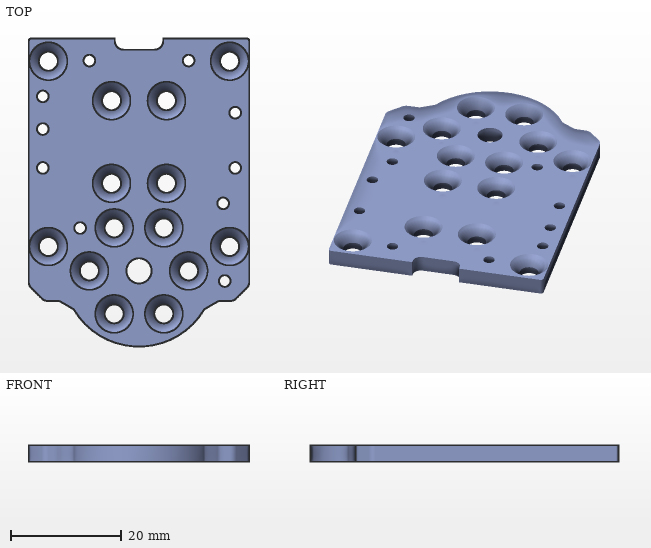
import cadquery as cq
import math

width = 40.0
length = 55.9
thickness = 3.0
nose_radius = 13.75
half_width = width / 2
back_y = length - nose_radius
shoulder_y = -5.5
shoulder_chamfer = 2.85
shoulder_fillet = 1.5
back_corner_radius = 0.5

flank_angle = math.radians(30)
flank_fillet = 1.0
nose_fillet = 0.5
nose_start_x = 11.85
nose_start_y = -math.sqrt(nose_radius**2 - nose_start_x**2)
flank_outer_x = nose_start_x + (shoulder_y - nose_start_y) / math.tan(flank_angle)

notch_width = 8.7
notch_depth = 2.0
notch_radius = 1.5

pilot_diameter = 2.05
screw_diameter = 3.4
countersink_diameter = 6.9
countersink_angle = 90
center_diameter = 4.5

corner_screw_x = 16.45
corner_screw_back_y = 38.0
corner_screw_front_y = 4.4
middle_screw_x = 5.0
middle_screw_back_y = 30.85
middle_screw_front_y = 15.9
screw_ring_radius = 9.0
screw_ring_count = 6

pilot_side_x = 17.45
pilot_back_x = 9.0
pilot_back_y = 38.1
pilot_side_y = 18.65
pilot_points = [
    (-pilot_back_x, pilot_back_y),
    (pilot_back_x, pilot_back_y),
    (-pilot_side_x, 31.65),
    (-pilot_side_x, 25.7),
    (-pilot_side_x, pilot_side_y),
    (pilot_side_x, 28.7),
    (pilot_side_x, pilot_side_y),
    (15.25, 12.25),
    (-10.7, 7.75),
    (15.55, -1.85),
]


def make_plate():
    """Flat plate with chamfered shoulders and a round nose."""
    chamfer_x = half_width - shoulder_chamfer
    chamfer_y = shoulder_y + shoulder_chamfer
    plate = (
        cq.Workplane("XY")
        .moveTo(-half_width, back_y)
        .lineTo(-half_width, chamfer_y)
        .lineTo(-chamfer_x, shoulder_y)
        .lineTo(-flank_outer_x, shoulder_y)
        .lineTo(-nose_start_x, nose_start_y)
        .threePointArc((0, -nose_radius), (nose_start_x, nose_start_y))
        .lineTo(flank_outer_x, shoulder_y)
        .lineTo(chamfer_x, shoulder_y)
        .lineTo(half_width, chamfer_y)
        .lineTo(half_width, back_y)
        .close()
        .extrude(thickness)
    )
    plate = plate.edges("|Z and >Y").fillet(back_corner_radius)
    rounded_corners = (
        (half_width, chamfer_y, shoulder_fillet),
        (chamfer_x, shoulder_y, shoulder_fillet),
        (flank_outer_x, shoulder_y, flank_fillet),
        (nose_start_x, nose_start_y, nose_fillet),
    )
    for side in (-1, 1):
        for x, y, radius in rounded_corners:
            corner = cq.selectors.NearestToPointSelector((side * x, y, thickness / 2))
            plate = plate.edges("|Z").edges(corner).fillet(radius)
    return plate


def make_notch():
    """Cutter for the back edge, with its two inner corners rounded."""
    return (
        cq.Workplane("XY")
        .center(0, back_y - notch_depth / 2)
        .rect(notch_width, notch_depth)
        .extrude(thickness)
        .edges("|Z and <Y")
        .fillet(notch_radius)
    )


def mirrored_pairs(x, y_values):
    """Points on both sides of the Y axis at each given y."""
    return [(side * x, y) for y in y_values for side in (-1, 1)]


def ring_points(radius, count):
    """Evenly spaced points on a circle about the origin."""
    angles = [2 * math.pi * index / count for index in range(count)]
    return [(radius * math.cos(angle), radius * math.sin(angle)) for angle in angles]


screw_points = (
    mirrored_pairs(corner_screw_x, (corner_screw_back_y, corner_screw_front_y))
    + mirrored_pairs(middle_screw_x, (middle_screw_back_y, middle_screw_front_y))
    + ring_points(screw_ring_radius, screw_ring_count)
)

plate = make_plate().cut(make_notch())
top_plane = cq.Workplane("XY", origin=(0, 0, thickness))
plate = (
    plate.copyWorkplane(top_plane)
    .pushPoints(screw_points)
    .cskHole(screw_diameter, countersink_diameter, countersink_angle)
)
plate = plate.copyWorkplane(top_plane).pushPoints(pilot_points).hole(pilot_diameter)
result = plate.copyWorkplane(top_plane).hole(center_diameter)